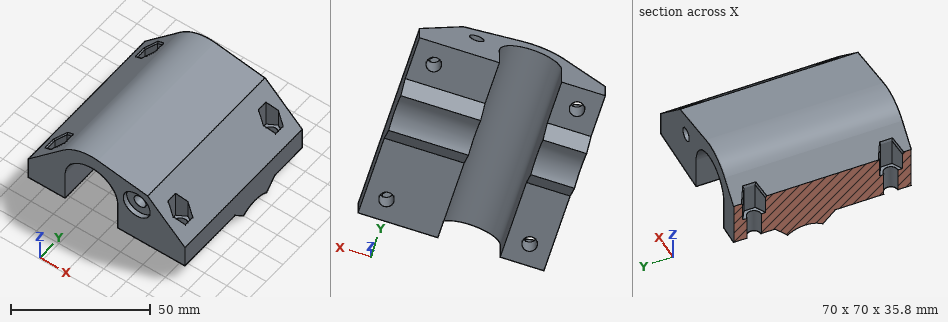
import cadquery as cq
import math

LENGTH = 70.0
WIDTH = 70.0
HEIGHT = 35.8
FOOT_HEIGHT = 5.0
SHOULDER_Z = 15.0
ROOF_ANGLE = 10.0

BORE_DIAMETER = 23.45
BORE_RADIUS = BORE_DIAMETER / 2
BORE_X = 28.2
CROWN_RADIUS = 17.9
BORE_Z = HEIGHT - CROWN_RADIUS
SADDLE_Y = LENGTH - BORE_X
FOOT_TOP_HALF = 11.9
SADDLE_RISE = 2.2

BOLT_DIAMETER = 5.5
BOLT_INSET = 8.05
NUT_ACROSS_FLATS = 7.7
NUT_FLOOR_Z = SHOULDER_Z

LIP_ACROSS_FLATS = 8.95
LIP_SHIFT = 0.3
LIP_DEPTH = 0.8
LIP_CLEARANCE = 0.1

SCREW_X = 48.45
SCREW_Z = 23.4
SCREW_DIAMETER = 5.3
COUNTERBORE_DIAMETER = 12.0
COUNTERBORE_DEPTH = 2.0

END_BEVEL_LENGTH = 0.55
END_BEVEL_DROP = 0.15


def crown_point(angle):
    """Point (x, z) on the crown arc, angle in degrees from vertical toward +X."""
    turn = math.radians(angle)
    return (BORE_X + CROWN_RADIUS * math.sin(turn), BORE_Z + CROWN_RADIUS * math.cos(turn))


def cylinder_y(x, z, diameter, depth):
    """Cylinder along +Y starting at the -Y end."""
    return cq.Workplane("XZ").center(x, z).circle(diameter / 2).extrude(-depth)


def make_body():
    roof_x, roof_z = crown_point(ROOF_ANGLE)
    fall = math.tan(math.radians(ROOF_ANGLE))
    ridge_x = (WIDTH + SHOULDER_Z - roof_z - fall * roof_x) / (1 - fall)
    ridge_z = SHOULDER_Z + WIDTH - ridge_x
    body = (
        cq.Workplane("XZ")
        .moveTo(0, FOOT_HEIGHT)
        .lineTo(0, SHOULDER_Z)
        .lineTo(*crown_point(-45))
        .threePointArc(crown_point(0), (roof_x, roof_z))
        .lineTo(ridge_x, ridge_z)
        .lineTo(WIDTH, SHOULDER_Z)
        .lineTo(WIDTH, FOOT_HEIGHT)
        .close()
        .extrude(-LENGTH)
    )
    upper_end = cq.selectors.BoxSelector(
        (-0.7, LENGTH - 0.1, SHOULDER_Z + 0.7), (ridge_x - 0.7, LENGTH + 0.1, HEIGHT + 0.7)
    )
    return body.edges(upper_end).chamfer(END_BEVEL_LENGTH, END_BEVEL_DROP)


def make_foot():
    """Saddle under the body with 45-degree sides and a concave underside."""
    bottom_half = FOOT_TOP_HALF - FOOT_HEIGHT
    return (
        cq.Workplane("YZ")
        .moveTo(SADDLE_Y - FOOT_TOP_HALF, FOOT_HEIGHT)
        .lineTo(SADDLE_Y - bottom_half, 0)
        .threePointArc((SADDLE_Y, SADDLE_RISE), (SADDLE_Y + bottom_half, 0))
        .lineTo(SADDLE_Y + FOOT_TOP_HALF, FOOT_HEIGHT)
        .close()
        .extrude(WIDTH)
    )


def make_passage():
    """Round-topped slot for the tube, open at the bottom."""
    return (
        cq.Workplane("XZ")
        .moveTo(BORE_X - BORE_RADIUS, 0)
        .lineTo(BORE_X - BORE_RADIUS, BORE_Z)
        .threePointArc((BORE_X, BORE_Z + BORE_RADIUS), (BORE_X + BORE_RADIUS, BORE_Z))
        .lineTo(BORE_X + BORE_RADIUS, 0)
        .close()
        .extrude(-LENGTH)
    )


def make_pocket(x, y):
    """Hexagonal prism with corners pointing along Y."""
    corner_diameter = NUT_ACROSS_FLATS / math.cos(math.radians(30))
    return (
        cq.Workplane("XY", origin=(x, y, NUT_FLOOR_Z))
        .transformed(rotate=(0, 0, 90))
        .polygon(6, corner_diameter)
        .extrude(HEIGHT)
    )


def slope_hexagon(x, y, across_flats, depth):
    """Wire that looks hexagonal from above, parallel to the -X slope and a depth below it."""
    corner_radius = across_flats / 2 / math.cos(math.radians(30))
    corners = []
    for corner in range(6):
        turn = math.radians(60 * corner + 30)
        corner_x = x + corner_radius * math.cos(turn)
        corner_y = y + corner_radius * math.sin(turn)
        corners.append(cq.Vector(corner_x, corner_y, SHOULDER_Z + corner_x - depth))
    return cq.Wire.makePolygon(corners, close=True)


def make_lip(x, y):
    """Flare from the pocket walls out to the larger hexagon on the -X slope."""
    inner = slope_hexagon(x, y, NUT_ACROSS_FLATS, LIP_DEPTH)
    outer = slope_hexagon(x - LIP_SHIFT, y, LIP_ACROSS_FLATS, -LIP_CLEARANCE)
    return cq.Workplane(obj=cq.Solid.makeLoft([inner, outer], True))


bolt_rows = (BOLT_INSET, LENGTH - BOLT_INSET)
left_x = BOLT_INSET
right_x = WIDTH - BOLT_INSET

result = make_body().union(make_foot()).cut(make_passage())

for bolt_y in bolt_rows:
    for bolt_x in (left_x, right_x):
        bolt = cq.Workplane("XY").center(bolt_x, bolt_y).circle(BOLT_DIAMETER / 2).extrude(HEIGHT)
        result = result.cut(make_pocket(bolt_x, bolt_y)).cut(bolt)
    result = result.cut(make_lip(left_x, bolt_y))

result = result.cut(cylinder_y(SCREW_X, SCREW_Z, SCREW_DIAMETER, LENGTH))
result = result.cut(cylinder_y(SCREW_X, SCREW_Z, COUNTERBORE_DIAMETER, COUNTERBORE_DEPTH))